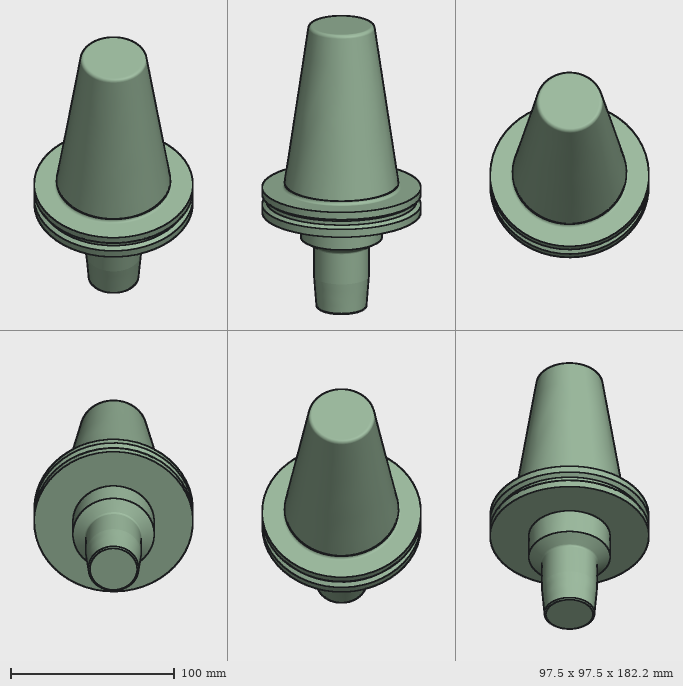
import cadquery as cq
import math

total_height = 182.2
gauge_line = 80.5
flange_top = 77.5
flange_bottom = 61.5
collar_bottom = 45.2
nose_taper_top = 20.2

flange_radius = 97.5 / 2
gauge_radius = 35.0
collar_radius = 25.0
nose_radius = 17.0

taper_slope = 7 / 24 / 2
taper_top_radius = gauge_radius - (total_height - gauge_line) * taper_slope
taper_top_fillet = 2.4

groove_floor_radius = 46.1
groove_center = 69.6
groove_mouth = 6.4
groove_floor = 2.5

gauge_band = 0.5
neck_radius = 34.5
neck_flare = 2.0

shoulder_angle = math.radians(30)
shoulder_bottom = collar_bottom - (collar_radius - nose_radius) * math.tan(shoulder_angle)
shoulder_fillet = 1.5
nose_taper_angle = math.radians(4.5)
nose_tip_radius = nose_radius - nose_taper_top * math.tan(nose_taper_angle)
tip_chamfer = 1.0


def make_body():
    """Revolve the half section (radius, height) about Z."""
    profile = (
        cq.Workplane("XZ")
        .moveTo(0, 0)
        .lineTo(nose_tip_radius, 0)
        .lineTo(nose_radius, nose_taper_top)
        .lineTo(nose_radius, shoulder_bottom)
        .lineTo(collar_radius, collar_bottom)
        .lineTo(collar_radius, flange_bottom)
        .lineTo(flange_radius, flange_bottom)
        .lineTo(flange_radius, groove_center - groove_mouth / 2)
        .lineTo(groove_floor_radius, groove_center - groove_floor / 2)
        .lineTo(groove_floor_radius, groove_center + groove_floor / 2)
        .lineTo(flange_radius, groove_center + groove_mouth / 2)
        .lineTo(flange_radius, flange_top)
        .lineTo(neck_radius, flange_top)
        .lineTo(neck_radius, gauge_line - gauge_band)
        .lineTo(gauge_radius, gauge_line - gauge_band)
        .lineTo(gauge_radius, gauge_line)
        .lineTo(taper_top_radius, total_height)
        .lineTo(0, total_height)
        .close()
    )
    return profile.revolve(360, (0, 0, 0), (0, 1, 0))


def circle_at(radius, height):
    """Select the circular edge of the given radius and height."""
    margin = 0.1
    outer = radius + margin
    return cq.selectors.BoxSelector(
        (-outer, -outer, height - margin),
        (outer, outer, height + margin),
        boundingbox=True,
    )


body = make_body()
body = body.edges(circle_at(taper_top_radius, total_height)).fillet(taper_top_fillet)
body = body.edges(circle_at(nose_radius, shoulder_bottom)).fillet(shoulder_fillet)
body = body.edges(circle_at(neck_radius, flange_top)).fillet(neck_flare)
result = body.edges(circle_at(nose_tip_radius, 0)).chamfer(tip_chamfer)